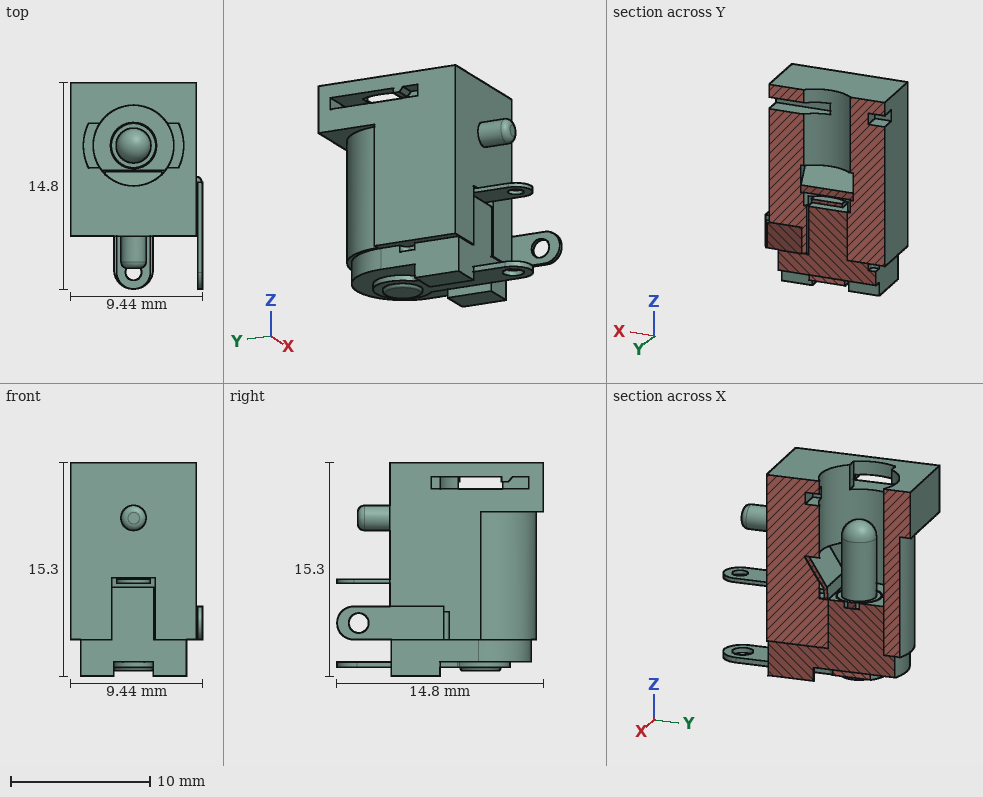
import cadquery as cq
import math


housing_half_width = 4.5
housing_back = 4.5
housing_front = -6.5
housing_height = 12.7
head_height = 3.54
barrel_radius = 4.0
bore_radius = 2.9
peg_radius = 0.9
peg_length = 2.31
peg_round = 0.49
peg_z = 8.73

keyway_radius = 3.6
keyway_half_width = 1.6
lock_bottom = 10.82
lock_height = 0.86
open_slot_end = 3.54
blind_slot_end = 3.46
stop_start = 1.5
stop_length = 0.49
stop_slant = 0.3
stop_drop = 0.35

base_half_width = 3.8
base_round_center = -0.15
base_front = -6.4
base_thickness = 1.6
leg_back = -2.9
leg_height = 1.03
floor_z = 3.75
plug_front = -1.78
post_clearance = 0.09
notch_back = -1.69
notch_front = -2.86
notch_height = 0.49
notch_depth = 0.55
notch_back_round = 0.54
notch_front_round = 0.23

window_half_width = 1.55
window_height = 4.43

pin_radius = 1.25
pin_tip_z = 9.5
collar_radius = 1.6
collar_height = 0.46
collar_clearance = 0.06
rivet_radius = 1.44
rivet_height = 0.25
rivet_round = 0.18

terminal_end = -10.3
plate_thickness = 0.4

bottom_half_width = 1.41
bottom_disc_radius = 2.13
bottom_neck_round = 0.2
bottom_hole_radius = 0.77

spring_thickness = 0.3
spring_half_width = 2.02
spring_knee_y = -1.87
spring_knee_rise = 0.92
spring_lead_slope = 58.0
spring_lead_rise = 2.15
tab_half_width = 1.21
tab_bottom = 4.05
tab_round = 0.09
tab_hole_radius = 0.57

side_height = 2.39
side_thickness = 0.35
side_gap = 0.09
side_arm_height = 1.99
side_bend_back = -2.24
side_bend_step = 0.06
side_inner_end = 1.99
side_hole_y = -8.73
side_hole_radius = 0.7
side_inner_x = housing_half_width + side_gap
side_outer_x = side_inner_x + side_thickness
side_bend_front = side_bend_back - plate_thickness

spring_foot_y = plug_front
spring_knee_z = floor_z + spring_knee_rise
spring_top = spring_knee_z + spring_lead_rise
foot_slope = math.atan2(spring_knee_rise, spring_foot_y - spring_knee_y)
lead_slope = math.radians(spring_lead_slope)
foot_thickness_y = spring_thickness / math.sin(foot_slope)
lead_thickness_y = spring_thickness / math.sin(lead_slope)
spring_top_y = spring_knee_y - spring_lead_rise / math.tan(lead_slope)

strap_top = -base_thickness
strap_bottom = strap_top - plate_thickness


def box(x0, x1, y0, y1, z0, z1):
    """Box between two opposite corners."""
    return cq.Workplane("XY").box(x1 - x0, y1 - y0, z1 - z0, centered=False).translate((x0, y0, z0))


def cylinder(radius, z0, z1):
    """Cylinder on the bore axis."""
    return cq.Workplane("XY").workplane(offset=z0).circle(radius).extrude(z1 - z0)


def prism_along_x(points, half_width):
    """Prism centered on X = 0 from an outline of (y, z) points."""
    return cq.Workplane("YZ").polyline(points).close().extrude(half_width, both=True)


def lug(half_width, back, hole_radius, z0, thickness):
    """Flat strap with a rounded front end and a concentric solder hole."""
    eye_y = terminal_end + half_width
    strap = box(-half_width, half_width, eye_y, back, z0, z0 + thickness)
    end = cylinder(half_width, z0, z0 + thickness).translate((0, eye_y, 0))
    hole = cylinder(hole_radius, z0, z0 + thickness).translate((0, eye_y, 0))
    return strap.union(end).cut(hole)


def locking_cut():
    """Keyway and locking slot on the -X side of the bore."""
    lock_top = lock_bottom + lock_height
    keyway_corner = -math.sqrt(keyway_radius**2 - keyway_half_width**2)
    keyway_box = box(-keyway_radius, 0, -keyway_half_width, keyway_half_width, lock_bottom, housing_height)
    keyway = cylinder(keyway_radius, lock_bottom, housing_height).intersect(keyway_box)
    open_slot = box(-housing_half_width, 0, 0, open_slot_end, lock_bottom, lock_top)
    blind_slot = box(-housing_half_width, keyway_corner, -blind_slot_end, 0, lock_bottom, lock_top)
    stop = (
        cq.Workplane("YZ")
        .workplane(offset=-housing_half_width)
        .moveTo(-stop_start, lock_top)
        .vLine(-stop_drop)
        .hLine(-stop_length)
        .line(-stop_slant, stop_drop)
        .close()
        .extrude(housing_half_width + keyway_corner)
    )
    return keyway.union(open_slot).union(blind_slot.cut(stop))


def bore_plug():
    """Part of the base that closes the lower end of the bore, cut flat behind the spring."""
    half = box(-bore_radius, bore_radius, plug_front, bore_radius, 0, floor_z)
    return cylinder(bore_radius, 0, floor_z).intersect(half)


def spring_leaf():
    """Wide leaf of the spring: a steep foot, then a lead-in leaning further out of the bore."""
    middle_slope = (foot_slope + lead_slope) / 2
    knee_miter = spring_thickness / math.cos((foot_slope - lead_slope) / 2)
    back_knee_y = spring_knee_y - knee_miter * math.sin(middle_slope)
    back_knee_z = spring_knee_z - knee_miter * math.cos(middle_slope)
    return prism_along_x(
        [
            (spring_foot_y, floor_z),
            (spring_knee_y, spring_knee_z),
            (spring_top_y, spring_top),
            (spring_top_y - lead_thickness_y, spring_top),
            (back_knee_y, back_knee_z),
            (spring_foot_y - foot_thickness_y, floor_z),
        ],
        spring_half_width,
    )


def side_anchor():
    """Lower inner arm of the side terminal, from the bend in its strap into the housing."""
    return (
        cq.Workplane("XY")
        .moveTo(side_inner_end, side_bend_back)
        .lineTo(side_inner_x, side_bend_back)
        .radiusArc((side_outer_x - side_bend_step, side_bend_front), plate_thickness)
        .lineTo(side_inner_end, side_bend_front)
        .close()
        .extrude(side_arm_height)
    )


def make_housing():
    head_bottom = housing_height - head_height
    body = box(-housing_half_width, housing_half_width, housing_front, 0, 0, housing_height)
    body = body.union(cylinder(barrel_radius, 0, head_bottom))
    body = body.union(
        box(-housing_half_width, housing_half_width, 0, housing_back, head_bottom, housing_height)
    )
    peg = (
        cq.Workplane("XZ", origin=(0, housing_front, peg_z))
        .circle(peg_radius)
        .extrude(peg_length)
        .faces("<Y")
        .edges()
        .fillet(peg_round)
    )
    body = body.cut(cylinder(bore_radius, floor_z, housing_height))
    body = body.cut(bore_plug())
    for angle in (0, 180):
        body = body.cut(locking_cut().rotate((0, 0, 0), (0, 0, 1), angle))
    window = box(-window_half_width, window_half_width, housing_front, plug_front, 0, window_height)
    room_before_leaf = prism_along_x(
        [
            (plug_front, floor_z),
            (spring_knee_y, spring_knee_z),
            (spring_top_y, spring_top),
            (plug_front, spring_top),
        ],
        spring_half_width,
    )
    spring_pocket = room_before_leaf.union(spring_leaf())
    return body.cut(window).cut(spring_pocket).cut(side_anchor()).union(peg)


def make_base():
    flange = box(-base_half_width, base_half_width, base_front, base_round_center, -base_thickness, 0)
    rounded_back = cylinder(base_half_width, -base_thickness, 0).translate((0, base_round_center, 0))
    post_right = window_half_width - post_clearance
    post = box(-window_half_width, post_right, base_front, plug_front, 0, floor_z)
    base = flange.union(rounded_back).union(bore_plug()).union(post)
    leg_bottom = -base_thickness - leg_height
    for x0, x1 in ((-base_half_width, -bottom_half_width), (bottom_half_width, base_half_width)):
        base = base.union(box(x0, x1, base_front, leg_back, leg_bottom, -base_thickness))
    notch_inner_x = notch_depth - base_half_width
    notch = box(-base_half_width, notch_inner_x, notch_front, notch_back, -notch_height, 0)
    notch = notch.edges("|Z and >X and >Y").fillet(notch_back_round)
    notch = notch.edges("|Z and >X and <Y").fillet(notch_front_round)
    base = base.cut(notch)
    pin_hole = cylinder(pin_radius, strap_top, floor_z)
    collar_seat = cylinder(collar_radius + collar_clearance, floor_z - collar_height, floor_z)
    return base.cut(pin_hole).cut(collar_seat)


def make_pin():
    tip_center_z = pin_tip_z - pin_radius
    tip = cq.Workplane("XY", origin=(0, 0, tip_center_z)).sphere(pin_radius)
    shank = cylinder(pin_radius, strap_bottom, tip_center_z).union(tip)
    collar = cylinder(collar_radius, floor_z - collar_height, floor_z)
    rivet = cylinder(rivet_radius, strap_bottom - rivet_height, strap_bottom)
    rivet = rivet.faces("<Z").edges().fillet(rivet_round)
    return shank.union(collar).union(rivet)


def make_bottom_terminal():
    strap = lug(bottom_half_width, 0, bottom_hole_radius, strap_bottom, plate_thickness)
    strap = strap.union(cylinder(bottom_disc_radius, strap_bottom, strap_top))
    neck_y = -math.sqrt(bottom_disc_radius**2 - bottom_half_width**2)
    neck_zone = cq.selectors.BoxSelector(
        (-bottom_half_width - bottom_neck_round, neck_y - bottom_neck_round, strap_bottom),
        (bottom_half_width + bottom_neck_round, neck_y + bottom_neck_round, strap_top),
    )
    strap = strap.edges("|Z").edges(neck_zone).fillet(bottom_neck_round)
    return strap.cut(cylinder(pin_radius, strap_bottom, strap_top))


def make_spring():
    back_foot = spring_foot_y - foot_thickness_y
    tab = lug(tab_half_width, back_foot, tab_hole_radius, tab_bottom, spring_thickness)
    tab_top = tab_bottom + spring_thickness
    root_y = back_foot - (tab_top - floor_z) / math.tan(foot_slope)
    root_zone = cq.selectors.BoxSelector(
        (-tab_half_width, root_y - tab_round, tab_top - tab_round / 4),
        (tab_half_width, root_y + tab_round, tab_top + tab_round / 4),
    )
    return spring_leaf().union(tab).edges("|X").edges(root_zone).fillet(tab_round)


def make_side_terminal():
    end_radius = side_height / 2
    eye_y = terminal_end + end_radius
    strap = (
        cq.Workplane("YZ", origin=(side_inner_x, 0, 0))
        .moveTo(side_bend_front, 0)
        .lineTo(eye_y, 0)
        .radiusArc((terminal_end, end_radius), end_radius)
        .radiusArc((eye_y, side_height), end_radius)
        .lineTo(side_bend_front, side_height)
        .close()
        .extrude(side_thickness)
    )
    hole = (
        cq.Workplane("YZ", origin=(side_inner_x, side_hole_y, end_radius))
        .circle(side_hole_radius)
        .extrude(side_thickness)
    )
    return strap.cut(hole).union(side_anchor())


housing = make_housing()
base = make_base()
pin = make_pin()
bottom_terminal = make_bottom_terminal()
spring = make_spring()
side_terminal = make_side_terminal()
result = cq.Compound.makeCompound(
    [housing.val(), base.val(), pin.val(), bottom_terminal.val(), spring.val(), side_terminal.val()]
)